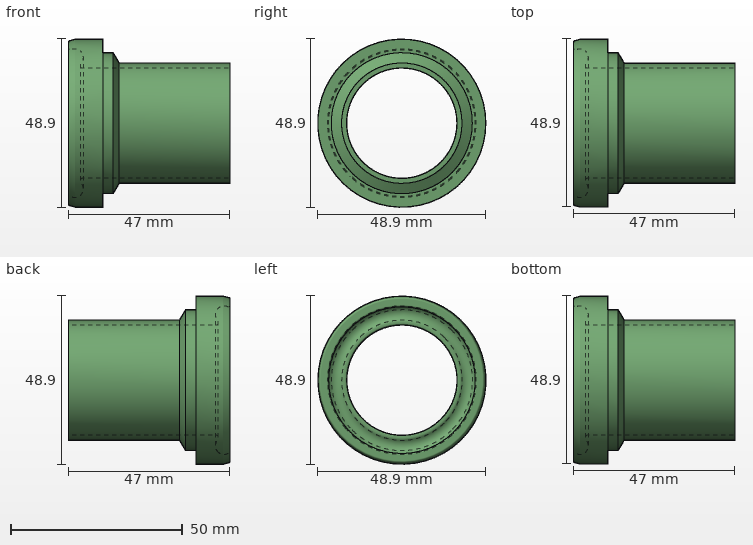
import cadquery as cq
import math

total_length = 47.0
flange_length = 10.0
collar_end = 13.0

flange_radius = 48.9 / 2
collar_radius = 41.0 / 2
tube_radius = 35.0 / 2
bore_radius = 32.0 / 2

lead_length = 2.0
lead_angle = math.radians(15)
shoulder_angle = math.radians(30)
rim_fillet = 0.5

seat_round_radius = 2.5
seat_center_radius = 19.1
seat_center_depth = 1.8
mouth_fillet = 0.5

lip_depth = 3.5
lip_outer_fillet = 1.0
lip_bore_fillet = 0.5


def seat_fillet(face_depth, fillet_radius, side):
    """Fillet from a flat face to the O-ring seat, outside it (side=1) or inside it (side=-1).

    Returns the fillet's center radius and the (depth, radius) point where it meets the seat.
    """
    center_distance = seat_round_radius + fillet_radius
    depth_step = face_depth + fillet_radius - seat_center_depth
    radial_step = side * math.sqrt(center_distance**2 - depth_step**2)
    share = seat_round_radius / center_distance
    meeting_point = (
        seat_center_depth + share * depth_step,
        seat_center_radius + share * radial_step,
    )
    return seat_center_radius + radial_step, meeting_point


def make_profile():
    """Half section of the part, drawn as depth (X) against radius (Y)."""
    lip_face_radius, lip_meets_seat = seat_fillet(lip_depth, lip_outer_fillet, -1)
    mouth_radius, mouth_meets_seat = seat_fillet(0, mouth_fillet, 1)

    lead_front_radius = flange_radius - lead_length * math.tan(lead_angle)
    rim_setback = rim_fillet * math.tan((math.pi / 2 - lead_angle) / 2)
    rim_end = (
        rim_setback * math.cos(lead_angle),
        lead_front_radius + rim_setback * math.sin(lead_angle),
    )
    shoulder_end = collar_end + (collar_radius - tube_radius) * math.tan(shoulder_angle)

    return (
        cq.Workplane("XY")
        .moveTo(total_length, bore_radius)
        .lineTo(lip_depth + lip_bore_fillet, bore_radius)
        .tangentArcPoint((lip_depth, bore_radius + lip_bore_fillet), relative=False)
        .lineTo(lip_depth, lip_face_radius)
        .tangentArcPoint(lip_meets_seat, relative=False)
        .tangentArcPoint(mouth_meets_seat, relative=False)
        .tangentArcPoint((0, mouth_radius), relative=False)
        .lineTo(0, lead_front_radius - rim_setback)
        .tangentArcPoint(rim_end, relative=False)
        .lineTo(lead_length, flange_radius)
        .lineTo(flange_length, flange_radius)
        .lineTo(flange_length, collar_radius)
        .lineTo(collar_end, collar_radius)
        .lineTo(shoulder_end, tube_radius)
        .lineTo(total_length, tube_radius)
        .close()
    )


result = make_profile().revolve(360, (0, 0, 0), (1, 0, 0))